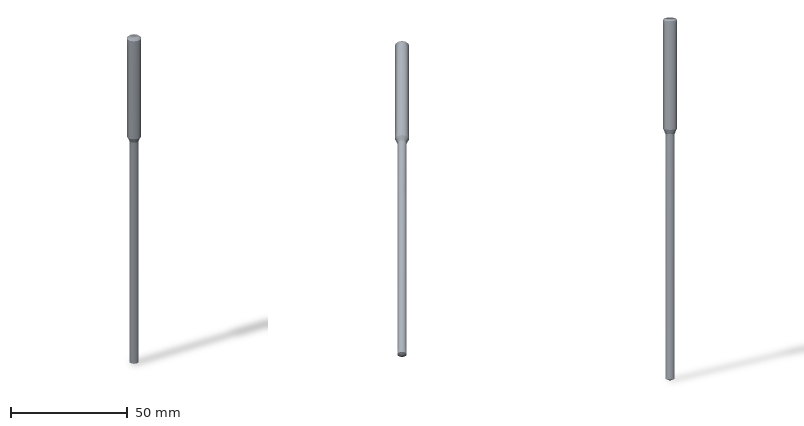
import cadquery as cq
import math


total_length = 157.74
shank_length = 47.97
transition_length = 2.07
cutting_length = 81.3

shank_diameter = 6.0
drill_diameter = 4.07

shank_chamfer = 0.6
point_angle = 140.0

shank_radius = shank_diameter / 2
drill_radius = drill_diameter / 2
point_height = drill_radius / math.tan(math.radians(point_angle / 2))

shank_bottom = total_length - shank_length
neck_top = shank_bottom - transition_length


def turned_body(profile):
    """Revolve a closed (radius, height) profile about Z."""
    outline = [(-radius, height) for radius, height in profile]
    return cq.Workplane("YZ").polyline(outline).close().revolve(360, (0, 0), (0, 1))


def make_shank():
    """Chamfered clamping shank, tapering to the neck that carries the cutting part."""
    return turned_body([
        (0, cutting_length),
        (drill_radius, cutting_length),
        (drill_radius, neck_top),
        (shank_radius, shank_bottom),
        (shank_radius, total_length - shank_chamfer),
        (shank_radius - shank_chamfer, total_length),
        (0, total_length),
    ])


def make_cutting_part():
    """Plain cylinder over the cutting length, ending in the conical point."""
    return turned_body([
        (0, 0),
        (drill_radius, point_height),
        (drill_radius, cutting_length),
        (0, cutting_length),
    ])


shank = make_shank()
cutting_part = make_cutting_part()

result = cq.Compound.makeCompound([shank.val(), cutting_part.val()])